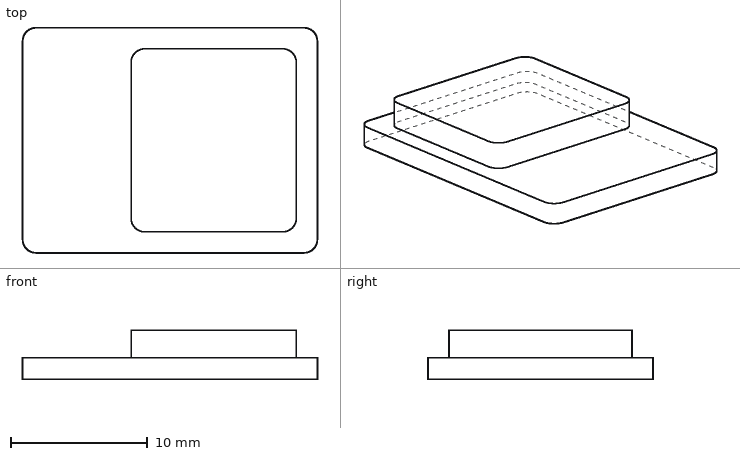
import cadquery as cq

plate_length = 21.6
plate_width = 16.5
plate_thickness = 1.6

block_margin = 1.55
block_length = 12.1
block_width = plate_width - 2 * block_margin
block_height = 2.0
block_center_x = plate_length / 2 - block_margin - block_length / 2

corner_radius = 1.0


def rounded_slab(length, width, height):
    """Slab standing on Z = 0, centred in X and Y, with rounded vertical corners."""
    slab = cq.Workplane("XY").box(length, width, height, centered=(True, True, False))
    return slab.edges("|Z").fillet(corner_radius)


plate = rounded_slab(plate_length, plate_width, plate_thickness)
block = rounded_slab(block_length, block_width, block_height)
block = block.translate((block_center_x, 0, plate_thickness))

result = plate.union(block)